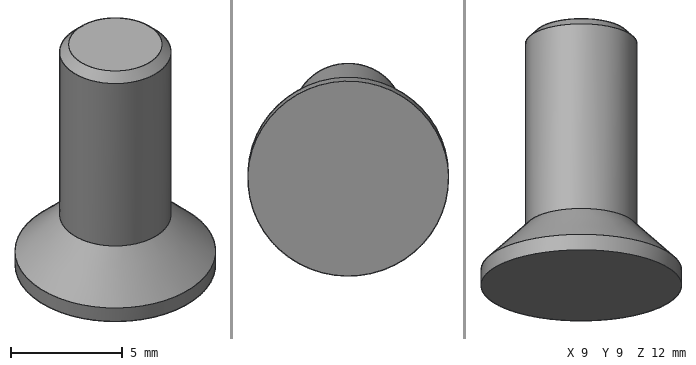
import cadquery as cq

total_length = 12.0
head_diameter = 9.0
shank_diameter = 5.0
rim_height = 0.75
tip_chamfer = 0.41

head_radius = head_diameter / 2
shank_radius = shank_diameter / 2
cone_height = head_radius - shank_radius
head_height = rim_height + cone_height

head = (
    cq.Workplane("XZ")
    .polyline([
        (0, 0),
        (head_radius, 0),
        (head_radius, rim_height),
        (shank_radius, head_height),
        (0, head_height),
    ])
    .close()
    .revolve(360, (0, 0, 0), (0, 1, 0))
)

shank = (
    cq.Workplane("XY")
    .workplane(offset=head_height)
    .circle(shank_radius)
    .extrude(total_length - head_height)
    .faces(">Z")
    .chamfer(tip_chamfer)
)

result = head.union(shank)